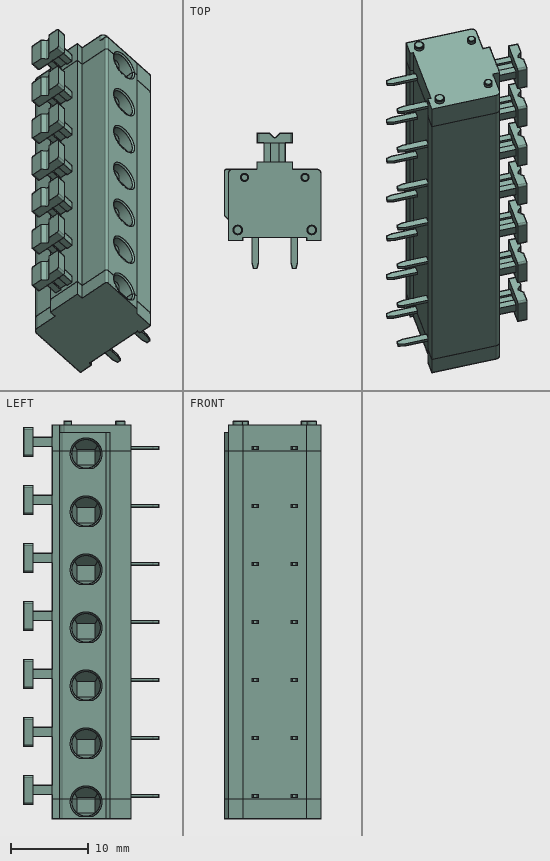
import cadquery as cq
body_top = 51.0
lower_seam = 2.6
upper_seam = 47.6
pole_count = 7
pitch = (upper_seam - lower_seam) / (pole_count - 1)
pole_seams = [lower_seam + i * pitch for i in range(pole_count)]

half_length_x = 6.255
skirt_thickness = 0.5
body_left = -half_length_x + skirt_thickness
body_right = half_length_x
body_center = (body_left + body_right) / 2
foot_bottom = -5.15
recess_bottom = -4.75
shoulder = 4.1
boss_top = 5.05
boss_width = 4.65
recess_width = 8.25
shoulder_radius = 0.6

skirt_top = 50.0
skirt_low_edge = -1.9
skirt_bevel_drop = 0.5
skirt_radius = 0.3
skirt_root_depth = 1.05

entry_y = 0.65
entry_drop = 0.35
entry_diameter = 3.7
entry_chamfer = 0.2
entry_floor = -1.9
entry_depth = 1.3
funnel_depth = 1.9
funnel_end_width = 2.35
funnel_end_top = 0.55
funnel_end_bottom = -1.45

button_rise = 1.2
button_tip = 8.75
head_width = 4.55
head_height = 3.75
head_bottom = 7.5
head_radius = 0.25
notch_half_width = 0.65
notch_root_radius = 0.25
stem_width = 2.8
stem_thickness = 1.25
groove_width = 1.1
groove_depth = 0.3

pin_rise = 0.4
pin_spacing = 5.05
pin_width = 0.9
pin_tip_width = 0.45
pin_thickness = 0.4
pin_tip = -8.75
pin_taper = 0.75

peg_height = 0.5
peg_chamfer = 0.1
upper_peg_diameter = 1.05
upper_peg_y = 3.05
upper_peg_spacing = 7.85
lower_peg_diameter = 1.25
lower_peg_y = -3.75
lower_peg_spacing = 9.6


def prism(points, z_low, z_high):
    """Closed XY outline extruded from z_low to z_high."""
    return cq.Workplane("XY").workplane(offset=z_low).polyline(points).close().extrude(z_high - z_low)


def box(x, y, z):
    """Box given by its (low, high) limits along each axis."""
    size = [high - low for low, high in (x, y, z)]
    return cq.Workplane("XY").box(*size, centered=False).translate((x[0], y[0], z[0]))


def profile_block(z_low, z_high):
    """Housing cross-section: two feet, rounded shoulders and a central boss."""
    boss_left = body_center - boss_width / 2
    boss_right = body_center + boss_width / 2
    recess_left = body_center - recess_width / 2
    recess_right = body_center + recess_width / 2
    block = prism(
        [
            (body_left, foot_bottom),
            (recess_left, foot_bottom),
            (recess_left, recess_bottom),
            (recess_right, recess_bottom),
            (recess_right, foot_bottom),
            (body_right, foot_bottom),
            (body_right, shoulder),
            (boss_right, shoulder),
            (boss_right, boss_top),
            (boss_left, boss_top),
            (boss_left, shoulder),
            (body_left, shoulder),
        ],
        z_low,
        z_high,
    )
    for corner_x in (body_left, body_right):
        block = block.edges(cq.NearestToPointSelector((corner_x, shoulder, (z_low + z_high) / 2))).fillet(
            shoulder_radius
        )
    return block


def skirt(z_low, z_high):
    """Raised strip on the -X side, rounded above and bevelled below."""
    root = body_left + skirt_root_depth
    bevel_end = skirt_low_edge - skirt_bevel_drop
    strip = prism(
        [
            (-half_length_x, shoulder),
            (-half_length_x, skirt_low_edge),
            (body_left, bevel_end),
            (root, bevel_end),
            (root, shoulder),
        ],
        z_low,
        z_high,
    )
    corner = cq.NearestToPointSelector((-half_length_x, shoulder, (z_low + z_high) / 2))
    return strip.edges(corner).fillet(skirt_radius)


def entry_cutter(seam):
    """Wire entry: chamfered round mouth, then a funnel narrowing to a flat-ended rectangle."""
    radius = entry_diameter / 2
    center_z = seam - entry_drop
    mouth = cq.Workplane("YZ", origin=(-half_length_x, entry_y, center_z))
    bore = mouth.circle(radius).extrude(entry_depth + funnel_depth)
    end_center = (funnel_end_top + funnel_end_bottom) / 2
    funnel = (
        mouth.workplane(offset=entry_depth)
        .rect(entry_diameter, entry_diameter)
        .workplane(offset=funnel_depth)
        .center(0, end_center)
        .rect(funnel_end_width, funnel_end_top - funnel_end_bottom)
        .loft(ruled=True)
    )
    straight = mouth.circle(radius).extrude(entry_depth)
    flare = (
        mouth.circle(radius + entry_chamfer)
        .workplane(offset=entry_chamfer)
        .circle(radius)
        .loft(ruled=True)
    )
    below_floor = box(
        (-half_length_x, -half_length_x + entry_chamfer),
        (entry_y - entry_diameter, entry_y + entry_diameter),
        (center_z - entry_diameter, center_z + entry_floor),
    )
    return bore.intersect(funnel).union(straight).union(flare.cut(below_floor))


def housing_section(z_low, z_high, skirt_high):
    """Length of the housing between two heights, with the wire entries that reach into it."""
    section = profile_block(z_low, z_high).union(skirt(z_low, skirt_high))
    for seam in pole_seams:
        section = section.cut(entry_cutter(seam))
    return section


def push_button(seam):
    """T-shaped button with a right-angled V notch across its head and a groove on each side of its stem."""
    center_z = seam + button_rise
    head_z = (center_z - head_height / 2, center_z + head_height / 2)
    head = box((body_center - head_width / 2, body_center + head_width / 2), (head_bottom, button_tip), head_z)
    head = head.edges("|Y").fillet(head_radius)
    notch = prism(
        [
            (body_center - notch_half_width, button_tip),
            (body_center, button_tip - notch_half_width),
            (body_center + notch_half_width, button_tip),
        ],
        *head_z,
    )
    root = cq.NearestToPointSelector((body_center, button_tip - notch_half_width, center_z))
    notch = notch.edges(root).fillet(notch_root_radius)
    stem_y = (boss_top, head_bottom)
    web_z = stem_thickness / 2 - groove_depth
    web = box(
        (body_center - groove_width / 2, body_center + groove_width / 2),
        stem_y,
        (center_z - web_z, center_z + web_z),
    )
    button = head.cut(notch).union(web)
    flange_width = (stem_width - groove_width) / 2
    for flange_left in (body_center - stem_width / 2, body_center + groove_width / 2):
        flange = box(
            (flange_left, flange_left + flange_width),
            stem_y,
            (center_z - stem_thickness / 2, center_z + stem_thickness / 2),
        )
        button = button.union(flange)
    return button


def solder_pins(seam):
    """Pair of flat pins with tapered tips."""
    z_low = seam + pin_rise - pin_thickness / 2
    z_high = z_low + pin_thickness
    taper_start = pin_tip + pin_taper
    pins = cq.Workplane("XY")
    for center_x in (body_center - pin_spacing / 2, body_center + pin_spacing / 2):
        pins = pins.add(
            prism(
                [
                    (center_x - pin_width / 2, recess_bottom),
                    (center_x - pin_width / 2, taper_start),
                    (center_x - pin_tip_width / 2, pin_tip),
                    (center_x + pin_tip_width / 2, pin_tip),
                    (center_x + pin_width / 2, taper_start),
                    (center_x + pin_width / 2, recess_bottom),
                ],
                z_low,
                z_high,
            )
        )
    return pins.combine()


def locating_pegs(diameter, y, spacing):
    """Pair of round pegs with chamfered tops, standing on the top face."""
    return (
        cq.Workplane("XY", origin=(body_center, y, body_top))
        .pushPoints([(-spacing / 2, 0), (spacing / 2, 0)])
        .circle(diameter / 2)
        .extrude(peg_height)
        .faces(">Z")
        .chamfer(peg_chamfer)
    )


def with_poles(section, seams):
    """Section joined with the button and pins of each pole it carries."""
    for seam in seams:
        section = section.union(push_button(seam)).union(solder_pins(seam))
    return section


end_section = housing_section(0, lower_seam, lower_seam)

middle_section = with_poles(housing_section(lower_seam, upper_seam, upper_seam), pole_seams[:-1])

top_section = with_poles(housing_section(upper_seam, body_top, skirt_top), pole_seams[-1:])
top_section = top_section.union(locating_pegs(upper_peg_diameter, upper_peg_y, upper_peg_spacing))
top_section = top_section.union(locating_pegs(lower_peg_diameter, lower_peg_y, lower_peg_spacing))

result = cq.Compound.makeCompound([end_section.val(), middle_section.val(), top_section.val()])